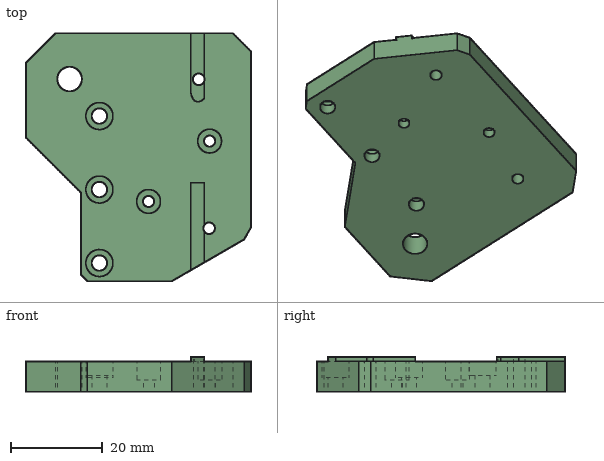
import cadquery as cq
import math

length_x = 49.0
length_y = 54.0
plate_height = 6.6
total_height = 7.6

top_left_chamfer = 6.4
top_right_chamfer = 4.0
step_x = 11.95
step_top_y = 31.25
step_chamfer = 1.45
bottom_edge_end_x = 31.7
lower_slope = math.radians(30)
steep_slope = math.radians(60)
slope_corner_x = 47.45

rib_left = 35.85
rib_width = 2.95
rib_right = rib_left + rib_width
lower_rib_top_y = 21.45

side_arc_start_y = 41.35
arc_junction = (36.65, 39.3)
end_arc_bottom = (37.6, 39.1)
end_arc_right_y = 39.95

large_hole_diameter = 5.3
large_hole_center = (9.5, 44.0)
pin_hole_diameter = 2.5
pin_hole_centers = [(37.6, 43.95), (39.85, 11.55)]

row_x = 16.0
row_first_y = 4.0
row_pitch = 16.0
row_bore_diameter = 3.3
row_counterbore_diameter = 5.9
row_counterbore_depths = [3.4, 3.4, 2.95]

pair_centers = [(39.95, 30.5), (26.7, 17.4)]
pair_bore_diameter = 2.4
pair_counterbore_diameter = 5.2
pair_counterbore_depth = 4.0


def make_outline_prism(height):
    """Extrude the plate outline from the bottom face."""
    slope_corner_y = (slope_corner_x - bottom_edge_end_x) * math.tan(lower_slope)
    right_edge_start_y = slope_corner_y + (length_x - slope_corner_x) * math.tan(steep_slope)
    points = [
        (step_x + step_chamfer, 0),
        (bottom_edge_end_x, 0),
        (slope_corner_x, slope_corner_y),
        (length_x, right_edge_start_y),
        (length_x, length_y - top_right_chamfer),
        (length_x - top_right_chamfer, length_y),
        (top_left_chamfer, length_y),
        (0, length_y - top_left_chamfer),
        (0, step_top_y),
        (step_x, step_top_y - step_x),
        (step_x, step_chamfer),
    ]
    return cq.Workplane("XY").polyline(points).close().extrude(height)


def make_lower_rib():
    """Make a square-ended bar trimmed by the sloped edge of the plate."""
    bar = (
        cq.Workplane("XY")
        .moveTo(rib_left, 0)
        .rect(rib_width, lower_rib_top_y, centered=False)
        .extrude(total_height)
    )
    return bar.intersect(make_outline_prism(total_height))


def make_upper_rib():
    """Make a bar from the far edge of the plate with an unevenly rounded inner end."""
    return (
        cq.Workplane("XY")
        .moveTo(rib_left, length_y)
        .lineTo(rib_left, side_arc_start_y)
        .tangentArcPoint(arc_junction, relative=False)
        .threePointArc(end_arc_bottom, (rib_right, end_arc_right_y))
        .lineTo(rib_right, length_y)
        .close()
        .extrude(total_height)
    )


def cut_hole(body, center, diameter):
    """Cut a round hole through the plate and any rib above it."""
    cutter = cq.Workplane("XY").center(*center).circle(diameter / 2).extrude(total_height)
    return body.cut(cutter)


def cut_counterbored_hole(body, center, bore, counterbore, depth):
    """Cut a through hole with a counterbore sunk from the plate's upper face."""
    recess = (
        cq.Workplane("XY", origin=(0, 0, plate_height - depth))
        .center(*center)
        .circle(counterbore / 2)
        .extrude(depth)
    )
    return cut_hole(body, center, bore).cut(recess)


result = make_outline_prism(plate_height).union(make_lower_rib()).union(make_upper_rib())

result = cut_hole(result, large_hole_center, large_hole_diameter)
for pin_center in pin_hole_centers:
    result = cut_hole(result, pin_center, pin_hole_diameter)

for index, row_depth in enumerate(row_counterbore_depths):
    result = cut_counterbored_hole(
        result,
        (row_x, row_first_y + index * row_pitch),
        row_bore_diameter,
        row_counterbore_diameter,
        row_depth,
    )

for pair_center in pair_centers:
    result = cut_counterbored_hole(
        result,
        pair_center,
        pair_bore_diameter,
        pair_counterbore_diameter,
        pair_counterbore_depth,
    )